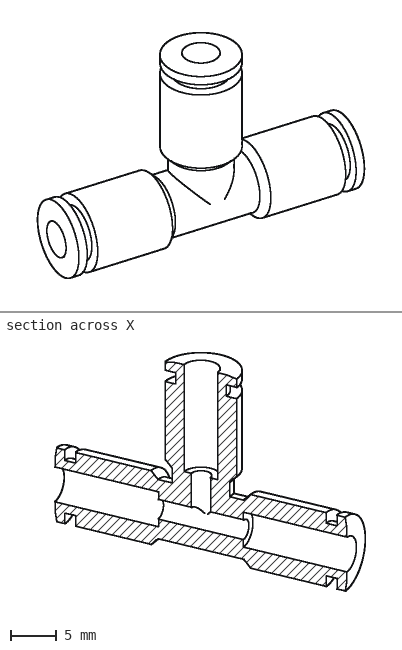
import cadquery as cq

reach = 18.3
body_radius = 4.5
core_radius = 3.62
neck_radius = 3.22
collar_length = 1.28
neck_length = 1.3
body_length = 9.48
cone_length = body_radius - core_radius

rim_rise = 0.22
rim_face_radius = neck_radius

tube_radius = 2.1
passage_radius = 1.17

collar_back = reach - collar_length
body_front = collar_back - neck_length
body_back = body_front - body_length
cone_end = body_back - cone_length


def port_blank():
    """Solid port rising along +Z, turned from its half profile."""
    return (
        cq.Workplane("XZ")
        .moveTo(0, 0)
        .lineTo(core_radius, 0)
        .lineTo(core_radius, cone_end)
        .lineTo(body_radius, body_back)
        .lineTo(body_radius, body_front)
        .lineTo(neck_radius, body_front)
        .lineTo(neck_radius, collar_back)
        .lineTo(body_radius, collar_back)
        .lineTo(body_radius, reach - rim_rise)
        .lineTo(rim_face_radius, reach)
        .lineTo(0, reach)
        .close()
        .revolve(360, (0, 0, 0), (0, 1, 0))
    )


def port_bore():
    """Tube socket down to the foot of the cone, then a narrower passage to the centre."""
    socket = cq.Workplane("XY").workplane(offset=cone_end).circle(tube_radius).extrude(reach - cone_end)
    return cq.Workplane("XY").circle(passage_radius).extrude(reach).union(socket)


def in_all_ports(shape):
    """Copies of a +Z port shape pointing along +Z, +Y and -Y."""
    return [shape.rotate((0, 0, 0), (1, 0, 0), angle) for angle in (0, 90, -90)]


result = cq.Workplane("XZ").circle(core_radius).extrude(cone_end, both=True)

for blank in in_all_ports(port_blank()):
    result = result.union(blank)

for bore in in_all_ports(port_bore()):
    result = result.cut(bore)